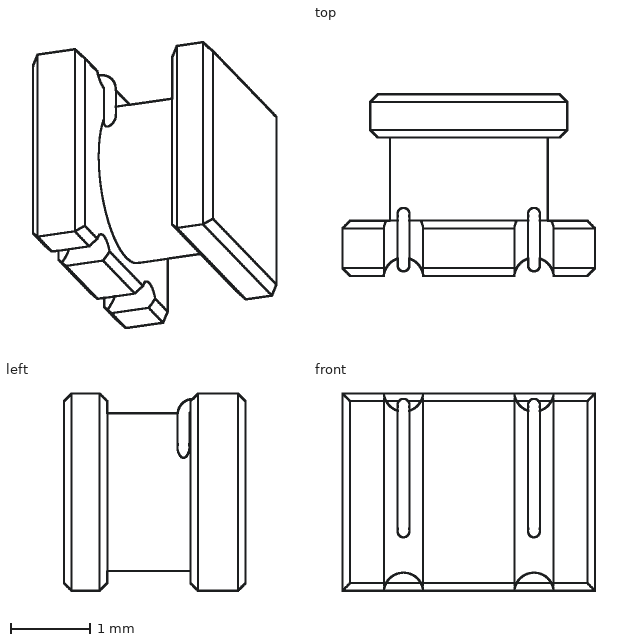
import cadquery as cq

front_width = 3.2
flange_height = 2.5
front_thickness = 0.7
rear_width = flange_height
rear_thickness = 0.55
core_length = 1.05
core_diameter = 2.0
flange_chamfer = 0.1

groove_radius = 0.25
groove_axis_gap = 0.02
groove_offset = 0.825

wire_diameter = 0.15
bend_radius = 0.125
top_depth = 0.145
front_depth = 0.135
back_gap = 0.085
front_leg_end = -0.375

half_height = flange_height / 2
rear_start = front_thickness + core_length
groove_positions = (-groove_offset, groove_offset)


def make_flange(width, thickness, start):
    """Rectangular flange, chamfered around both its faces."""
    block = cq.Workplane("XY").box(width, thickness, flange_height)
    block = block.faces("<Y or >Y").edges().chamfer(flange_chamfer)
    return block.translate((0, start + thickness / 2, 0))


def make_groove(x):
    """Cutter for the front, top and bottom grooves at one wire position."""
    cutter = (
        cq.Workplane("XY", origin=(x, -groove_axis_gap, -half_height))
        .circle(groove_radius)
        .extrude(flange_height)
    )
    axis_height = half_height + groove_axis_gap
    for z in (-axis_height, axis_height):
        crossing = (
            cq.Workplane("XZ", origin=(x, 0, z))
            .circle(groove_radius)
            .extrude(-front_thickness)
        )
        cutter = cutter.union(crossing)
    return cutter


def make_bobbin():
    """Core and both flanges as one body, with the wire grooves cut."""
    front_flange = make_flange(front_width, front_thickness, 0)
    for x in groove_positions:
        front_flange = front_flange.cut(make_groove(x))
    core = (
        cq.Workplane("XZ", origin=(0, front_thickness, 0))
        .circle(core_diameter / 2)
        .extrude(-core_length)
    )
    rear_flange = make_flange(rear_width, rear_thickness, rear_start)
    return front_flange.union(core).union(rear_flange)


def make_wire(x, bobbin):
    """Wire from the core, over the flange and down its front, ending on the bobbin surface."""
    back_y = front_thickness + back_gap
    top_z = half_height - top_depth
    bend_z = top_z - bend_radius
    path = (
        cq.Workplane("YZ", origin=(x, 0, 0))
        .moveTo(back_y, 0)
        .lineTo(back_y, bend_z)
        .tangentArcPoint((back_y - bend_radius, top_z), relative=False)
        .lineTo(front_depth + bend_radius, top_z)
        .tangentArcPoint((front_depth, bend_z), relative=False)
        .lineTo(front_depth, front_leg_end)
        .tangentArcPoint((front_depth + bend_radius, front_leg_end - bend_radius), relative=False)
    )
    wire = (
        cq.Workplane("XY", origin=(x, back_y, 0))
        .circle(wire_diameter / 2)
        .sweep(path)
    )
    return wire.cut(bobbin)


bobbin = make_bobbin()
wires = [make_wire(x, bobbin) for x in groove_positions]

result = cq.Compound.makeCompound([bobbin.val(), *[wire.val() for wire in wires]])